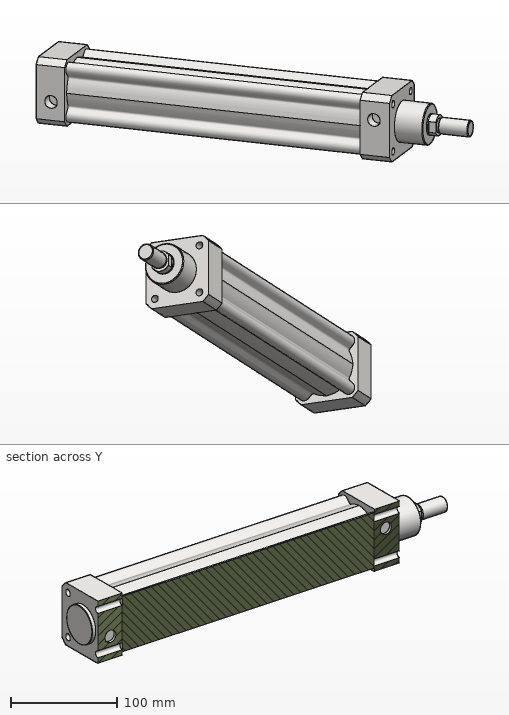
import cadquery as cq
import math


overall_length = 429.0
rear_cap_start = 4.5
rear_cap_end = 33.0
front_cap_start = 330.5
front_cap_end = 360.0
front_boss_end = 388.2

cap_side = 65.0
cap_corner_diameter = 84.0
boss_diameter = 40.0
rear_boss_chamfer = 0.5
front_boss_chamfer = 1.0
port_diameter = 12.5
port_depth = 12.0
port_inset = 13.7
port_offset = 8.5

screw_half_spacing = 23.0
screw_hole_diameter = 7.0

barrel_radius = 27.0
lobe_radius = 6.0
ridge_half_angle = 11.0
web_fillet = 2.0

collar_diameter = 20.5
collar_end = 389.5
rod_diameter = 20.0
flats_start = 390.5
flats_width = 17.0
shoulder_end = 397.3
neck_diameter = 14.0
thread_start = 399.0
thread_diameter = 16.0
thread_chamfer = 1.0


def corner_points():
    """Screw axes on the YZ plane."""
    return [(y, z) for y in (-screw_half_spacing, screw_half_spacing)
            for z in (-screw_half_spacing, screw_half_spacing)]


def cylinder(start, end, diameter):
    """Cylinder on the X axis between two stations."""
    return cq.Workplane("YZ", origin=(start, 0, 0)).circle(diameter / 2).extrude(end - start)


def square_cap(start, end, port_x, port_z):
    """Square cap with turned corners, four screw holes and a port on the -Y side."""
    length = end - start
    cap = cq.Workplane("YZ", origin=(start, 0, 0)).rect(cap_side, cap_side).extrude(length)
    cap = cap.intersect(cylinder(start, end, cap_corner_diameter))
    screw_holes = (
        cq.Workplane("YZ", origin=(start, 0, 0))
        .pushPoints(corner_points())
        .circle(screw_hole_diameter / 2)
        .extrude(length)
    )
    port = (
        cq.Workplane("XZ", origin=(port_x, -cap_side / 2, port_z))
        .circle(port_diameter / 2)
        .extrude(-port_depth)
    )
    return cap.cut(screw_holes).cut(port)


def make_rear_cap():
    """Rear cap with a short boss on its outer face."""
    cap = square_cap(rear_cap_start, rear_cap_end, rear_cap_end - port_inset, -port_offset)
    boss = cylinder(0, rear_cap_start, boss_diameter).faces("<X").chamfer(rear_boss_chamfer)
    return cap.union(boss)


def make_front_cap():
    """Front cap with a long boss, bored through for the rod collar."""
    cap = square_cap(front_cap_start, front_cap_end, front_cap_start + port_inset, port_offset)
    boss = cylinder(front_cap_end, front_boss_end, boss_diameter).faces(">X").chamfer(front_boss_chamfer)
    return cap.union(boss).cut(cylinder(front_cap_start, front_boss_end, collar_diameter))


def make_barrel():
    """Round barrel with a low ridge on each side and a rounded lobe around each screw axis."""
    start = rear_cap_end
    length = front_cap_start - rear_cap_end
    barrel = cylinder(start, front_cap_start, 2 * barrel_radius)

    lobe_reach = math.hypot(screw_half_spacing, screw_half_spacing)
    for quarter in range(4):
        web = (
            cq.Workplane("YZ", origin=(start, 0, 0))
            .center(lobe_reach / 2, 0)
            .rect(lobe_reach, 2 * lobe_radius)
            .extrude(length)
        )
        lobe = cq.Workplane("YZ", origin=(start, lobe_reach, 0)).circle(lobe_radius).extrude(length)
        barrel = barrel.union(web.union(lobe).rotate((0, 0, 0), (1, 0, 0), 45 + 90 * quarter))

    root_distance = math.sqrt(barrel_radius**2 - lobe_radius**2)
    root_angle = math.degrees(math.atan2(lobe_radius, root_distance))
    for quarter in range(4):
        for side in (-1, 1):
            angle = math.radians(45 + 90 * quarter + side * root_angle)
            y = barrel_radius * math.cos(angle)
            z = barrel_radius * math.sin(angle)
            root = cq.selectors.NearestToPointSelector((start + length / 2, y, z))
            barrel = barrel.edges("|X").edges(root).fillet(web_fillet)

    ridge_angle = math.radians(ridge_half_angle)
    foot_distance = barrel_radius * math.cos(ridge_angle)
    foot_half_width = barrel_radius * math.sin(ridge_angle)
    peak_distance = barrel_radius / math.cos(ridge_angle)
    ridge = (
        cq.Workplane("YZ", origin=(start, 0, 0))
        .lineTo(foot_distance, -foot_half_width)
        .lineTo(peak_distance, 0)
        .lineTo(foot_distance, foot_half_width)
        .close()
        .extrude(length)
    )
    for quarter in range(4):
        barrel = barrel.union(ridge.rotate((0, 0, 0), (1, 0, 0), 90 * quarter))
    return barrel


def make_rod():
    """Rod with a guide collar, two wrench flats, a neck and a chamfered thread end."""
    collar = cylinder(front_cap_start, collar_end, collar_diameter)
    shank = cylinder(collar_end, shoulder_end, rod_diameter)
    flats_length = shoulder_end - flats_start
    for side in (-1, 1):
        waste = cq.Workplane("XY").box(flats_length, rod_diameter, rod_diameter).translate(
            ((flats_start + shoulder_end) / 2, side * (flats_width + rod_diameter) / 2, 0)
        )
        shank = shank.cut(waste)
    neck = cylinder(shoulder_end, thread_start, neck_diameter)
    thread = cylinder(thread_start, overall_length, thread_diameter)
    thread = thread.faces("<X or >X").chamfer(thread_chamfer)
    return collar.union(shank).union(neck).union(thread)


rear_cap = make_rear_cap()
barrel = make_barrel()
front_cap = make_front_cap()
rod = make_rod()

result = cq.Compound.makeCompound([rear_cap.val(), barrel.val(), front_cap.val(), rod.val()])